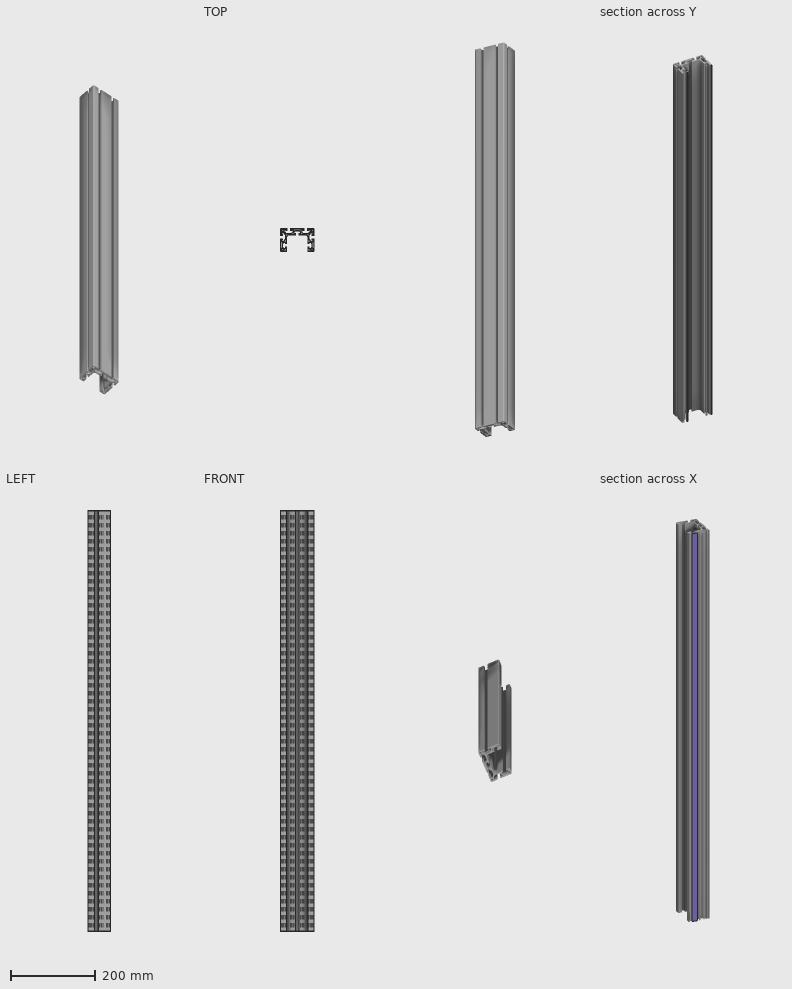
import cadquery as cq


LENGTH = 1000.0
WIDTH = 80.0
DEPTH = 54.0
WALL = 15.0
OUTER_RADIUS = 3.0
INNER_RADIUS = 5.5

SLOT_PITCH = WIDTH / 4
SLOT_OPENING = 8.2

OUTER_TIP_THICKNESS = 4.5
OUTER_TIP_SPAN = 14.0
OUTER_LIP_THICKNESS = 3.0
OUTER_CAVITY_WIDTH = 22.0
OUTER_FLANK_DEPTH = 6.5
OUTER_FLOOR_WIDTH = 11.0
OUTER_SLOT_DEPTH = 12.0

INNER_LIP_THICKNESS = 3.0
INNER_CAVITY_WIDTH = 15.0
INNER_FLANK_DEPTH = 8.5
INNER_FLOOR_WIDTH = 8.0
INNER_SLOT_DEPTH = 9.5

CORE_DIAMETER = 5.0
CORNER_CORE_INSET = 4.5
FOOT_CORE_INSET = 5.0

OVERCUT = 1.0

HALF_WIDTH = WIDTH / 2
BACK_Y = DEPTH / 2
FRONT_Y = -DEPTH / 2

OUTER_SLOT = [
    (SLOT_OPENING / 2, -OVERCUT),
    (SLOT_OPENING / 2, OUTER_TIP_THICKNESS),
    (OUTER_TIP_SPAN / 2, OUTER_TIP_THICKNESS),
    (OUTER_TIP_SPAN / 2, OUTER_LIP_THICKNESS),
    (OUTER_CAVITY_WIDTH / 2, OUTER_LIP_THICKNESS),
    (OUTER_CAVITY_WIDTH / 2, OUTER_FLANK_DEPTH),
    (OUTER_FLOOR_WIDTH / 2, OUTER_SLOT_DEPTH),
]
INNER_SLOT = [
    (SLOT_OPENING / 2, -OVERCUT),
    (SLOT_OPENING / 2, INNER_LIP_THICKNESS),
    (INNER_CAVITY_WIDTH / 2, INNER_LIP_THICKNESS),
    (INNER_CAVITY_WIDTH / 2, INNER_FLANK_DEPTH),
    (INNER_FLOOR_WIDTH / 2, INNER_SLOT_DEPTH),
]


def channel_body():
    """Plain U channel, open toward -Y, before any slot is cut."""
    block = cq.Workplane("XY").rect(WIDTH, DEPTH).extrude(LENGTH)
    block = block.edges("|Z").fillet(OUTER_RADIUS)
    opening = (
        cq.Workplane("XY")
        .center(0, -WALL)
        .rect(WIDTH - 2 * WALL, DEPTH)
        .extrude(LENGTH)
        .edges("|Z and >Y")
        .fillet(INNER_RADIUS)
    )
    return block.cut(opening)


def slot_cutter(half_outline, x, y, turn):
    """Full-length slot opening toward +Y at (x, y), then turned about Z by `turn` degrees."""
    right = [(half_width, -depth) for half_width, depth in half_outline]
    left = [(-u, v) for u, v in reversed(right)]
    cutter = cq.Workplane("XY").polyline(right + left).close().extrude(LENGTH)
    return cutter.rotate((0, 0, 0), (0, 0, 1), turn).translate((x, y, 0))


def core_cutter(x, y):
    """Full-length round core at (x, y)."""
    return cq.Workplane("XY").center(x, y).circle(CORE_DIAMETER / 2).extrude(LENGTH)


profile = channel_body()

profile = profile.cut(slot_cutter(INNER_SLOT, 0, BACK_Y - WALL, 180))

for side in (-1, 1):
    profile = profile.cut(slot_cutter(OUTER_SLOT, side * SLOT_PITCH, BACK_Y, 0))
    profile = profile.cut(slot_cutter(OUTER_SLOT, side * HALF_WIDTH, BACK_Y - SLOT_PITCH, -90 * side))

    inner_face_x = side * (HALF_WIDTH - WALL)
    profile = profile.cut(slot_cutter(INNER_SLOT, inner_face_x, BACK_Y - 2 * SLOT_PITCH, 90 * side))

    corner_x = side * (HALF_WIDTH - CORNER_CORE_INSET)
    profile = profile.cut(core_cutter(corner_x, BACK_Y - CORNER_CORE_INSET))
    foot_x = side * (HALF_WIDTH - FOOT_CORE_INSET)
    profile = profile.cut(core_cutter(foot_x, FRONT_Y + FOOT_CORE_INSET))

result = cq.Workplane("XY").newObject([profile.solids().val()])